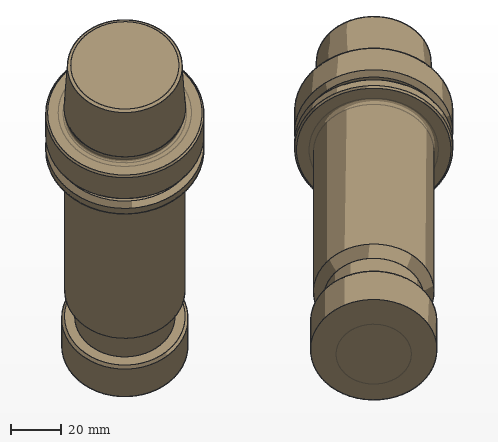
import cadquery as cq

total_height = 191.9
nose_height = 2.9
nut_top = 22.6
nut_chamfer = 1.2
body_bottom = 40.7
collar_bottom = 134.0
groove_bottom = 140.0
groove_top = 143.5
collar_top = 160.0
taper_bottom = 163.3

nose_radius = 15.0
nut_radius = 25.1
neck_radius = 20.0
body_radius = 24.0
collar_radius = 31.5
groove_radius = 27.6
groove_lip_radius = 29.0
taper_bottom_radius = 24.2
taper_top_radius = 22.8
relief_radius = 23.6

groove_chamfer = 1.5
collar_chamfer = 0.8
root_fillet = 1.7
rim_chamfer_height = 0.5
rim_chamfer_width = 1.3
relief_step = 0.8
recess_radius = 26.5
recess_depth = 0.2
shank_fillet = 1.0

recess_bottom = collar_top - recess_depth

body_cone_bottom = body_bottom - (body_radius - neck_radius)


def revolved_body():
    """Half profile in the XZ plane, revolved about Z."""
    profile = (
        cq.Workplane("XZ")
        .lineTo(nose_radius, 0)
        .lineTo(nut_radius, nose_height)
        .lineTo(nut_radius, nut_top - nut_chamfer)
        .lineTo(nut_radius - nut_chamfer, nut_top)
        .lineTo(neck_radius, nut_top)
        .lineTo(neck_radius, body_cone_bottom)
        .lineTo(body_radius, body_bottom)
        .lineTo(body_radius, collar_bottom - root_fillet)
        .radiusArc((body_radius + root_fillet, collar_bottom), root_fillet)
        .lineTo(collar_radius - collar_chamfer, collar_bottom)
        .lineTo(collar_radius, collar_bottom + collar_chamfer)
        .lineTo(collar_radius, groove_bottom - groove_chamfer)
        .lineTo(groove_lip_radius, groove_bottom)
        .lineTo(groove_radius, groove_bottom)
        .lineTo(groove_radius, groove_top)
        .lineTo(groove_lip_radius, groove_top)
        .lineTo(collar_radius, groove_top + groove_chamfer)
        .lineTo(collar_radius, collar_top - collar_chamfer)
        .lineTo(collar_radius - collar_chamfer, collar_top)
        .lineTo(recess_radius, collar_top)
        .lineTo(relief_radius + shank_fillet, recess_bottom)
        .radiusArc((relief_radius, recess_bottom + shank_fillet), shank_fillet)
        .lineTo(relief_radius, taper_bottom - relief_step)
        .lineTo(taper_bottom_radius, taper_bottom)
        .lineTo(taper_top_radius, total_height - rim_chamfer_height)
        .lineTo(taper_top_radius - rim_chamfer_width, total_height)
        .lineTo(0, total_height)
        .close()
    )
    return profile.revolve(360, (0, 0, 0), (0, 1, 0))


result = revolved_body()